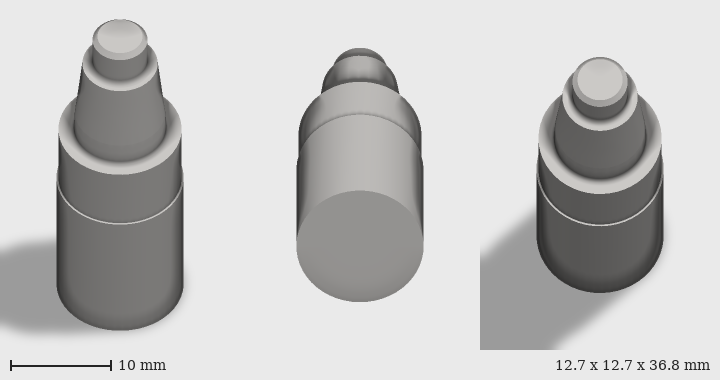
import cadquery as cq
import math

total_height = 36.8

base_radius = 12.7 / 2
base_height = 15.2

rim_height = 0.6
collar_radius = 12.3 / 2
collar_height = 7.2
collar_fillet = 0.3

neck_radius = 4.61
neck_arc_radius = 22.0
taper_angle = math.radians(5.8)

tip_radius = 5.5 / 2
tip_length = 4.0
tip_fillet = 0.5
tip_chamfer = 0.5

rim_top = base_height + rim_height
collar_top = rim_top + collar_height
neck_bottom = collar_top + collar_fillet
taper_top = total_height - tip_length

neck_arc_centre_radius = neck_radius - neck_arc_radius
neck_top = neck_bottom + neck_arc_radius * math.sin(taper_angle)
taper_bottom_radius = neck_arc_centre_radius + neck_arc_radius * math.cos(taper_angle)
taper_top_radius = taper_bottom_radius - (taper_top - neck_top) * math.tan(taper_angle)


def point_on_neck_arc(angle):
    """Radius and height of the neck arc at an angle above its vertical start."""
    return (
        neck_arc_centre_radius + neck_arc_radius * math.cos(angle),
        neck_bottom + neck_arc_radius * math.sin(angle),
    )


def make_base():
    """Plain cylinder that carries the stem."""
    return cq.Workplane("XY").circle(base_radius).extrude(base_height)


def make_stem():
    """Rim, collar, tapered neck and chamfered tip, revolved as one piece."""
    profile = (
        cq.Workplane("XZ")
        .moveTo(0, base_height)
        .lineTo(base_radius, base_height)
        .lineTo(base_radius, rim_top)
        .lineTo(collar_radius, rim_top)
        .lineTo(collar_radius, collar_top)
        .lineTo(neck_radius + collar_fillet, collar_top)
        .radiusArc((neck_radius, neck_bottom), collar_fillet)
        .threePointArc(point_on_neck_arc(taper_angle / 2), point_on_neck_arc(taper_angle))
        .lineTo(taper_top_radius, taper_top)
        .lineTo(tip_radius + tip_fillet, taper_top)
        .radiusArc((tip_radius, taper_top + tip_fillet), tip_fillet)
        .lineTo(tip_radius, total_height - tip_chamfer)
        .lineTo(tip_radius - tip_chamfer, total_height)
        .lineTo(0, total_height)
        .close()
    )
    return profile.revolve(360, (0, 0, 0), (0, 1, 0))


base = make_base()
stem = make_stem()

result = cq.Compound.makeCompound([base.val(), stem.val()])